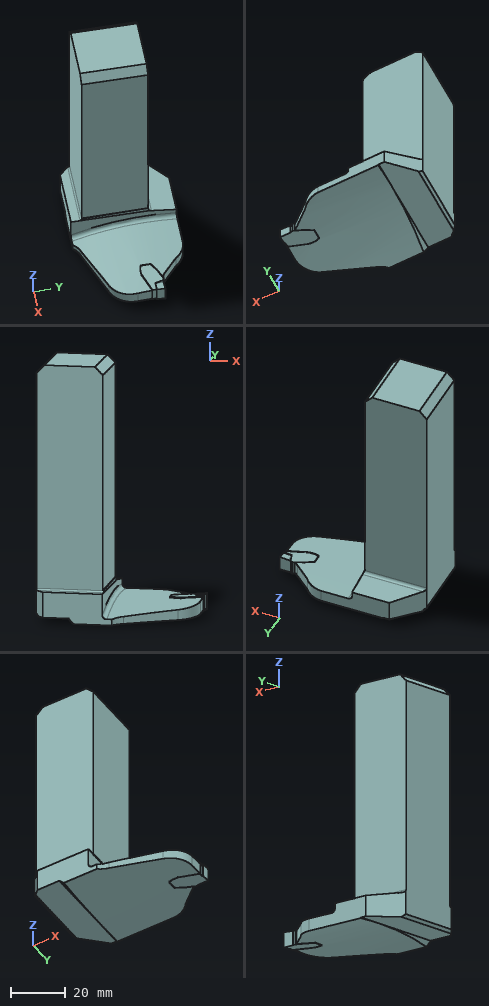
import cadquery as cq
import math

shank_width = 24.9
total_height = 95.7
shank_front_y = 4.0
shank_back_y = shank_front_y + shank_width
shank_chamfer = 3.0

head_length = 25.4
head_depth = 39.4
head_bottom_z = 2.0
head_top_z = 11.6
head_back_z = 10.0
front_corner = 3.2
back_corner = 10.4
bottom_chamfer = 1.15
front_fillet = 0.7
back_fillet = 1.2
heel_start_x = 12.7
heel_end_x = 14.6

crown_y = 28.7
blade_top_z = 7.2
blade_top_front_z = 2.3
blade_end_x = 58.5
blade_root_fillet = 1.6
nose_radius = 10.05
nose_center_y = 18.8
nose_angle = math.radians(20)
blade_front_x = 29.0
flank_round_mid = (30.8, 1.4)
flank_start = (32.8, 2.3)
back_round_start_x = 37.9
back_round_mid = (41.9, 38.3)
back_slope_start = (45.2, 35.5)
back_slope_end = (51.6, 30.1)
back_notch_x = 52.9

insert_bottom_z = 1.8
insert_top_z = 7.3
tip_back_y = 29.1
tip_front_y = 25.9
tip_end_x = 59.1
tip_side_x = 58.8
tip_start_x = 54.7
tip_inner_x = 55.6
tip_step_z = 7.5
tip_edge_z = 7.8
insert_end_x = 46.4
insert_end_front_y = 22.1
insert_end_back_y = 25.8
insert_shoulder = (53.8, 29.4)
insert_heel_start = (48.1, 21.6)
insert_heel_end = (50.5, 21.6)
insert_front_y = 24.3
insert_back_bend = (49.8, 27.8)


def arched_profile(front_z, crown_z, top_z):
    """YZ outline between a crowned arc and a flat level, over the head depth."""
    drop = crown_z - front_z
    radius = (crown_y**2 + drop**2) / (2 * drop)
    reach = head_depth - crown_y
    back_z = crown_z - radius + math.sqrt(radius**2 - reach**2)
    return (
        cq.Workplane("YZ")
        .moveTo(0, front_z)
        .threePointArc((crown_y, crown_z), (head_depth, back_z))
        .lineTo(head_depth, top_z)
        .lineTo(0, top_z)
        .close()
    )


def make_shank():
    shank = cq.Workplane("XY").box(shank_width, shank_width, total_height - head_top_z, centered=False)
    shank = shank.edges(">Z and |Y").chamfer(shank_chamfer)
    return shank.translate((0, shank_front_y, head_top_z))


def blade_outline():
    nose_center_x = blade_end_x - nose_radius

    def nose_point(angle):
        return (nose_center_x + nose_radius * math.sin(angle), nose_center_y - nose_radius * math.cos(angle))

    nose_mid_angle = (nose_angle + math.pi / 2) / 2
    return (
        cq.Workplane("XY")
        .moveTo(heel_start_x, 0)
        .lineTo(blade_front_x, 0)
        .threePointArc(flank_round_mid, flank_start)
        .lineTo(*nose_point(nose_angle))
        .threePointArc(nose_point(nose_mid_angle), nose_point(math.pi / 2))
        .lineTo(blade_end_x, tip_back_y)
        .lineTo(back_notch_x, tip_back_y)
        .lineTo(*back_slope_end)
        .lineTo(*back_slope_start)
        .threePointArc(back_round_mid, (back_round_start_x, head_depth))
        .lineTo(heel_start_x, head_depth)
        .close()
    )


def head_side():
    """YZ outline of the head with its fillets rising onto the shank."""
    slope = math.atan2(head_top_z - head_back_z, head_depth - shank_back_y)
    tangent_length = back_fillet * math.tan((math.pi / 2 - slope) / 2)
    ramp_end = (
        shank_back_y + tangent_length * math.cos(slope),
        head_top_z - tangent_length * math.sin(slope),
    )
    return (
        cq.Workplane("YZ")
        .moveTo(0, head_bottom_z)
        .lineTo(head_depth, head_bottom_z)
        .lineTo(head_depth, head_back_z)
        .lineTo(*ramp_end)
        .tangentArcPoint((shank_back_y, head_top_z + tangent_length), relative=False)
        .lineTo(shank_front_y, head_top_z + front_fillet)
        .radiusArc((shank_front_y - front_fillet, head_top_z), front_fillet)
        .lineTo(0, head_top_z)
        .close()
    )


def make_head():
    outline = [
        (0, front_corner),
        (front_corner, 0),
        (head_length, 0),
        (head_length, head_depth),
        (back_corner, head_depth),
        (0, head_depth - back_corner),
    ]
    head = cq.Workplane("XY").polyline(outline).close().extrude(total_height)
    head = head.intersect(head_side().extrude(head_length))
    corner = [(0, head_bottom_z), (bottom_chamfer, head_bottom_z), (0, head_bottom_z + bottom_chamfer)]
    ledge_z = head_top_z + back_fillet
    ledge = [(shank_width, ledge_z), (head_length, ledge_z), (head_length, head_top_z)]
    head = head.cut(cq.Workplane("XZ").polyline(ledge).close().extrude(-head_depth))
    return head.cut(cq.Workplane("XZ").polyline(corner).close().extrude(-head_depth))


def make_blade():
    blade = blade_outline().extrude(blade_top_z)
    above = arched_profile(blade_top_front_z, blade_top_z, total_height).extrude(tip_end_x)
    under = arched_profile(0, head_bottom_z, total_height).extrude(tip_end_x)
    heel = [(heel_start_x, 0), (heel_end_x, 0), (heel_start_x, head_bottom_z)]
    heel_cut = cq.Workplane("XZ").polyline(heel).close().extrude(-head_depth)
    return blade.cut(above).intersect(under).cut(heel_cut)


def make_insert():
    body_outline = [
        (insert_end_x, insert_end_front_y),
        insert_heel_start,
        insert_heel_end,
        (blade_end_x, insert_front_y),
        (blade_end_x, tip_front_y),
        (tip_inner_x, tip_front_y),
        (tip_start_x, tip_back_y),
        insert_shoulder,
        insert_back_bend,
        (insert_end_x, insert_end_back_y),
    ]
    tip_outline = [
        (tip_start_x, tip_back_y),
        (tip_inner_x, tip_front_y),
        (tip_side_x, tip_front_y),
        (tip_end_x, tip_back_y),
    ]
    tip_side = [
        (tip_start_x, insert_bottom_z),
        (tip_end_x, insert_bottom_z),
        (tip_end_x, tip_edge_z),
        (tip_inner_x, tip_step_z),
        (tip_start_x, insert_top_z),
    ]
    base = cq.Workplane("XY").workplane(offset=insert_bottom_z)
    body = base.polyline(body_outline).close().extrude(insert_top_z - insert_bottom_z)
    tip = base.polyline(tip_outline).close().extrude(tip_edge_z - insert_bottom_z)
    tip = tip.intersect(cq.Workplane("XZ").polyline(tip_side).close().extrude(-head_depth))
    return body.union(tip)


def edges_near(solid, low, high):
    """Edges of the solid that lie wholly inside the box between two corners."""
    return solid.edges(cq.selectors.BoxSelector(low, high, boundingbox=True))


def make_holder():
    """Shank, head and blade as one body, with a rounded blade root."""
    margin = 0.1
    holder = make_head().union(make_blade())
    root = edges_near(
        holder,
        (head_length - margin, -margin, blade_top_front_z - margin),
        (head_length + margin, head_depth + margin, blade_top_z + margin),
    ).edges("not |Z")
    return root.fillet(blade_root_fillet).union(make_shank())


insert = make_insert()
holder = make_holder().cut(insert)

result = cq.Compound.makeCompound([holder.val(), insert.val()])